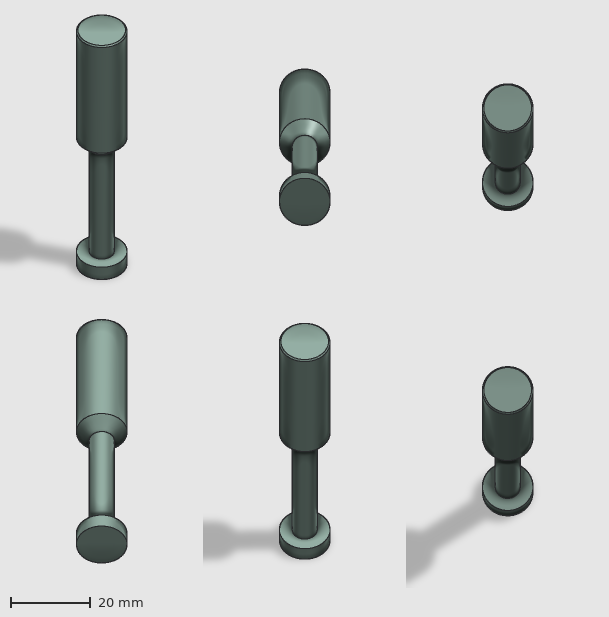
import cadquery as cq

total_height = 76.2
body_diameter = 12.7
stem_diameter = 6.3
foot_thickness = 4.05
body_shoulder_height = 41.3
top_chamfer = 0.4

body_radius = body_diameter / 2
stem_radius = stem_diameter / 2
cone_height = body_radius - stem_radius
cone_start_height = body_shoulder_height - cone_height

half_section = (
    cq.Workplane("XZ")
    .moveTo(0, 0)
    .lineTo(body_radius, 0)
    .lineTo(body_radius, foot_thickness)
    .lineTo(stem_radius, foot_thickness)
    .lineTo(stem_radius, cone_start_height)
    .lineTo(body_radius, body_shoulder_height)
    .lineTo(body_radius, total_height - top_chamfer)
    .lineTo(body_radius - top_chamfer, total_height)
    .lineTo(0, total_height)
    .close()
)

result = half_section.revolve(360, (0, 0, 0), (0, 1, 0))